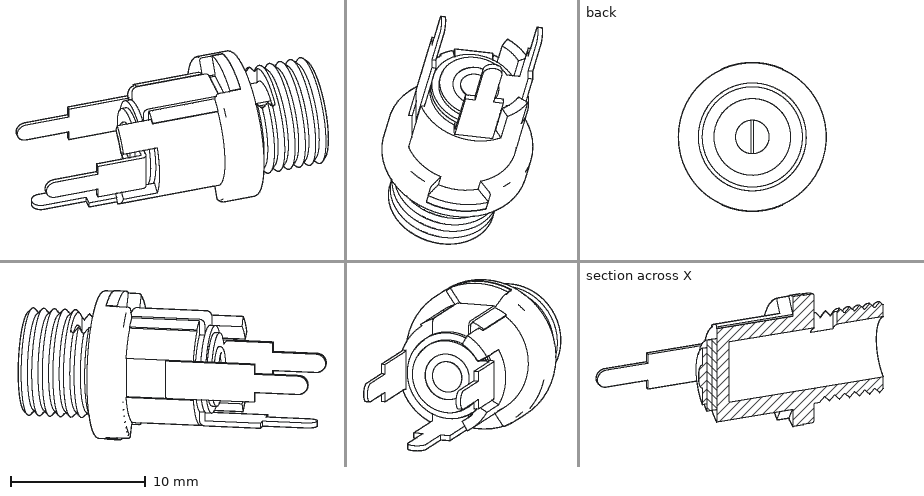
import cadquery as cq
import math


total_length = 21.9

thread_radius = 4.0
thread_depth = 0.4
full_crests = 6
first_crest = 0.28
last_crest = 5.08

flange_start = 5.5
flange_end = 8.2
flange_radius = 5.5
flange_rounding = 0.2
pad_radius = 5.55
pad_start = 6.37
notch_start = 7.2
notch_outer_half_width = 2.25
notch_outer_height = 5.0
notch_inner_half_width = 1.45
notch_inner_height = 3.85

barrel_radius = 4.2
barrel_end = 13.27
rail_radius = 4.34
rail_half_angle = 35.0
lug_inner_radius = 3.4
lug_angles = (30.0, 60.0)
lug_end = 15.9

bore_radius = 2.85
bore_floor_thickness = 1.0
window_start = 3.7
pin_radius = 1.25
pin_slit_width = 0.2
rivet_ring_radius = 1.45
rivet_bead_radius = 0.28

contact_width = 2.85
prong_width = 1.4
shoulder_station = 17.9
bend_inner_radius = 0.05
sleeve_thickness = 0.4
sleeve_washer_radius = 3.26
sleeve_prong_outer = 4.0
strap_top = 4.12
strap_start = 7.65
washer_thickness = 0.4
center_thickness = 0.35
center_disc_radius = 2.74
center_prong_outer = 3.65
switch_thickness = 0.3
switch_prong_outer = 3.96
switch_start = 11.13
channel_width = 2.98
buried_leg_end = 3.28

thread_pitch = (last_crest - first_crest) / full_crests
sleeve_washer_end = barrel_end + sleeve_thickness
washer_end = sleeve_washer_end + washer_thickness
center_disc_end = washer_end + center_thickness
bore_depth = barrel_end - bore_floor_thickness
beyond = 2 * flange_radius


def between(start, end):
    """Box reaching past the part in X and Z, between two stations."""
    return cq.Workplane("XZ", origin=(0, -start, 0)).rect(2 * beyond, 2 * beyond).extrude(end - start)


def rod(radius, start, end):
    """Cylinder on the jack axis."""
    return cq.Workplane("XZ", origin=(0, -start, 0)).circle(radius).extrude(end - start)


def block(x_range, z_range, start, end):
    """Box given by its X range, Z range and two stations."""
    size_x = x_range[1] - x_range[0]
    size_z = z_range[1] - z_range[0]
    corner = (x_range[0], -end, z_range[0])
    return cq.Workplane("XY").box(size_x, end - start, size_z, centered=False).translate(corner)


def sector(inner, outer, from_angle, to_angle, start, end):
    """Piece of a ring between two angles, measured from +X toward +Z."""

    def polar(radius, angle):
        turn = math.radians(angle)
        return (radius * math.cos(turn), radius * math.sin(turn))

    middle = (from_angle + to_angle) / 2
    return (
        cq.Workplane("XZ", origin=(0, -start, 0))
        .moveTo(*polar(inner, from_angle))
        .lineTo(*polar(outer, from_angle))
        .threePointArc(polar(outer, middle), polar(outer, to_angle))
        .lineTo(*polar(inner, to_angle))
        .threePointArc(polar(inner, middle), polar(inner, from_angle))
        .close()
        .extrude(end - start)
    )


def across(width):
    """Range of the given width centred on the axis."""
    return (-width / 2, width / 2)


def prong_terminal(outer, thickness, leg_start, leg_end):
    """Bent strip below the axis: a leg toward the axis, then a blade narrowing to a round prong."""
    inner = outer - thickness
    strip = block(across(contact_width), (-outer, -leg_end), leg_start, shoulder_station)
    strip = strip.edges("|X and >Y and <Z").fillet(thickness)
    hollow = block(across(contact_width), (-inner, -leg_end), leg_start + thickness, shoulder_station)
    hollow = hollow.edges("|X and >Y and <Z").fillet(bend_inner_radius)
    tip_radius = prong_width / 2
    tip_center = total_length - tip_radius
    prong = block(across(prong_width), (-outer, -inner), shoulder_station, tip_center)
    tip = cq.Workplane("XY", origin=(0, -tip_center, -outer)).circle(tip_radius).extrude(thickness)
    return strip.cut(hollow).union(prong).union(tip)


def make_sleeve_contact():
    """Washer with a strap over the barrel at the top and a solder prong at the bottom."""
    strap = block(across(contact_width), (buried_leg_end, strap_top), strap_start, sleeve_washer_end)
    strap = strap.edges("|X and >Z").fillet(sleeve_thickness)
    under_strap = block(
        across(contact_width),
        (buried_leg_end, strap_top - sleeve_thickness),
        strap_start + sleeve_thickness,
        barrel_end,
    )
    under_strap = under_strap.edges("|X and >Z").fillet(bend_inner_radius)
    strap_leg = block(across(contact_width), (pin_radius, buried_leg_end), barrel_end, sleeve_washer_end)
    prong = prong_terminal(sleeve_prong_outer, sleeve_thickness, barrel_end, pin_radius)
    washer = rod(sleeve_washer_radius, barrel_end, sleeve_washer_end)
    contact = washer.union(strap.cut(under_strap)).union(strap_leg).union(prong)
    return contact.cut(rod(pin_radius, barrel_end, sleeve_washer_end))


def make_switch_contact():
    """Prong on the -X side whose leg is held in the barrel wall."""
    prong = prong_terminal(switch_prong_outer, switch_thickness, switch_start, buried_leg_end)
    return prong.rotate((0, 0, 0), (0, 1, 0), 90)


def make_insulating_washer():
    washer = rod(sleeve_washer_radius, sleeve_washer_end, washer_end)
    return washer.cut(rod(pin_radius, sleeve_washer_end, washer_end))


def make_center_contact():
    """Slit pin, end disc, riveted bead and the prong on the +X side."""
    pin = rod(pin_radius, 0, washer_end)
    pin = pin.cut(block(across(pin_slit_width), across(beyond), 0, notch_start))
    disc = rod(center_disc_radius, washer_end, center_disc_end)
    prong = prong_terminal(center_prong_outer, center_thickness, washer_end, pin_radius)
    prong = prong.rotate((0, 0, 0), (0, 1, 0), -90)
    bead = (
        cq.Workplane("XY")
        .center(rivet_ring_radius, -center_disc_end)
        .circle(rivet_bead_radius)
        .revolve(360, (-rivet_ring_radius, 0), (-rivet_ring_radius, 1))
        .intersect(between(washer_end, total_length))
    )
    return pin.union(disc).union(prong).union(bead)


def make_thread():
    """Ring-shaped thread crests; the last crest runs on as a cylinder to the flange."""
    root_radius = thread_radius - thread_depth
    points = [(0, 0), (thread_radius - first_crest, 0)]
    for index in range(full_crests):
        crest = first_crest + index * thread_pitch
        points.append((thread_radius, -crest))
        points.append((root_radius, -(crest + thread_pitch / 2)))
    points.append((thread_radius, -last_crest))
    points.append((thread_radius, -flange_start))
    points.append((0, -flange_start))
    return cq.Workplane("XY").polyline(points).close().revolve(360, (0, 0), (0, 1))


def notch_prism(floor, start, end):
    """Top notch with slanted sides that become upright just above its floor."""
    slope = (notch_outer_half_width - notch_inner_half_width) / (notch_outer_height - notch_inner_height)
    top = beyond / 2
    top_half_width = notch_inner_half_width + slope * (top - notch_inner_height)
    right_side = [
        (notch_inner_half_width, floor),
        (notch_inner_half_width, notch_inner_height),
        (top_half_width, top),
    ]
    left_side = [(-x, z) for x, z in reversed(right_side)]
    outline = right_side + left_side
    return cq.Workplane("XZ", origin=(0, -start, 0)).polyline(outline).close().extrude(end - start)


def make_flange():
    """Round flange with raised pads and notches at the top and bottom."""
    flange = rod(flange_radius, flange_start, flange_end).edges().fillet(flange_rounding)
    pad = rod(pad_radius, pad_start, notch_start)
    pad = pad.intersect(block(across(2 * notch_outer_half_width), across(2 * beyond), pad_start, notch_start))
    notch = notch_prism(strap_top - sleeve_thickness, notch_start, flange_end)
    core = rod(barrel_radius, notch_start, flange_end)
    return flange.union(pad).cut(notch).cut(notch.mirror("XY")).union(core)


def make_barrel():
    """Barrel with a raised rail along the top, two end lugs at +X and a flat channel at -X."""
    barrel = rod(barrel_radius, flange_end, barrel_end)
    rail_start_angle = 90 - rail_half_angle
    rail_end_angle = 90 + rail_half_angle
    rail = sector(bore_radius, rail_radius, rail_start_angle, rail_end_angle, flange_end, barrel_end)
    lug = sector(lug_inner_radius, barrel_radius, *lug_angles, flange_end, lug_end)
    channel_floor = switch_prong_outer - switch_thickness
    channel = block((-beyond, -channel_floor), across(channel_width), flange_end, barrel_end)
    return barrel.union(rail).union(lug).union(lug.mirror("XY")).cut(channel)


def make_housing(sleeve_contact, switch_contact):
    housing = make_thread().union(make_flange()).union(make_barrel())
    strap_slot = notch_prism(strap_top - sleeve_thickness, notch_start, barrel_end)
    window = block(across(2 * notch_outer_half_width), (0, beyond), window_start, flange_start)
    housing = housing.cut(strap_slot).cut(window)
    housing = housing.cut(rod(bore_radius, 0, bore_depth)).cut(rod(pin_radius, bore_depth, barrel_end))
    return housing.cut(sleeve_contact).cut(switch_contact)


sleeve_contact = make_sleeve_contact()
switch_contact = make_switch_contact()
insulating_washer = make_insulating_washer()
center_contact = make_center_contact()
housing = make_housing(sleeve_contact, switch_contact)

result = cq.Compound.makeCompound(
    [
        *housing.solids().vals(),
        *sleeve_contact.solids().vals(),
        *switch_contact.solids().vals(),
        *insulating_washer.solids().vals(),
        *center_contact.solids().vals(),
    ]
)